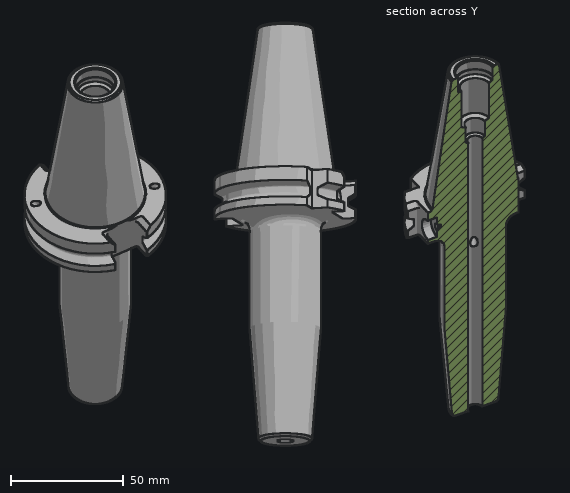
import cadquery as cq
import math


taper_length = 68.3
total_length = 188.2
nose_z = taper_length - total_length

gauge_radius = 22.2
taper_rate = 7 / 48
taper_tip_radius = gauge_radius - taper_length * taper_rate
tip_chamfer = 0.8
collar_radius = 22.5
collar_fillet = 0.8

flange_radius = 31.6
flange_top_z = -1.1
flange_bottom_z = -18.6
groove_z = -11.1
groove_floor_radius = 28.0
groove_floor_half_width = 1.7
groove_corner_fillet = 0.8
groove_slope_angle = 30
groove_mouth_half_width = groove_floor_half_width + (
    flange_radius - groove_floor_radius
) * math.tan(math.radians(groove_slope_angle))

body_radius = 16.0
body_top_z = -25.0
neck_relief = 0.1
neck_radius = body_radius - neck_relief
neck_bottom_z = -24.0
neck_fillet = flange_bottom_z - neck_bottom_z
nose_taper_z = -68.9
nose_radius = 12.0
nose_chamfer = 1.1

mouth_radius = 9.5
mouth_chamfer = 0.5
counterbore_radius = mouth_radius - mouth_chamfer
counterbore_depth = 5.3
recess_radius = 8.7
recess_depth = 8.0
thread_radius = 7.0
thread_cone_depth = 8.8
thread_depth = 28.2
pilot_radius = 4.9
pilot_depth = 37.6
through_radius = 3.5
drill_point_slope = 1 / math.tan(math.radians(60))

slot_half_width = 8.1
slot_floor_left = 24.5
slot_floor_right = 22.4
slot_chamfer = 2.5
slot_edge_chamfer = 0.4
slot_fillet = 1.0

notch_x = 18.5
notch_y = 18.5

chip_radius = 5.3
chip_depth = 4.7
chip_pin_radius = 1.7
chip_pin_tip_radius = 0.8
chip_pin_depth = 1.0
chip_pin_tip_depth = 1.0

coolant_radius = 1.7
coolant_circle_radius = 27.1
coolant_direction = 70
coolant_tilt = 40

clearance = 1.9


def turned_body():
    """Taper, collar, flange, neck and nose as one turned solid."""
    diagonal = math.sqrt(0.5)
    collar_arc_x = collar_radius + collar_fillet * (1 - diagonal)
    collar_arc_z = flange_top_z + collar_fillet * (1 - diagonal)
    neck_arc_x = neck_radius + neck_fillet * (1 - diagonal)
    neck_arc_z = flange_bottom_z - neck_fillet * (1 - diagonal)

    return (
        cq.Workplane("XZ")
        .moveTo(0, taper_length)
        .lineTo(taper_tip_radius - tip_chamfer, taper_length)
        .lineTo(taper_tip_radius + tip_chamfer * taper_rate, taper_length - tip_chamfer)
        .lineTo(gauge_radius, 0)
        .lineTo(collar_radius, 0)
        .lineTo(collar_radius, flange_top_z + collar_fillet)
        .threePointArc(
            (collar_arc_x, collar_arc_z),
            (collar_radius + collar_fillet, flange_top_z),
        )
        .lineTo(flange_radius, flange_top_z)
        .lineTo(flange_radius, flange_bottom_z)
        .lineTo(neck_radius + neck_fillet, flange_bottom_z)
        .threePointArc((neck_arc_x, neck_arc_z), (neck_radius, neck_bottom_z))
        .lineTo(body_radius, body_top_z)
        .lineTo(body_radius, nose_taper_z)
        .lineTo(nose_radius, nose_z + nose_chamfer)
        .lineTo(nose_radius - nose_chamfer, nose_z)
        .lineTo(0, nose_z)
        .close()
        .revolve(360, (0, 0, 0), (0, 1, 0))
    )


def flange_groove():
    """V groove around the flange, with rounded floor corners."""
    floor_corners = cq.selectors.RadiusNthSelector(0)
    return (
        cq.Workplane("XZ")
        .moveTo(flange_radius, groove_z + groove_mouth_half_width)
        .lineTo(groove_floor_radius, groove_z + groove_floor_half_width)
        .lineTo(groove_floor_radius, groove_z - groove_floor_half_width)
        .lineTo(flange_radius, groove_z - groove_mouth_half_width)
        .close()
        .revolve(360, (0, 0, 0), (0, 1, 0))
        .edges("%CIRCLE")
        .edges(floor_corners)
        .fillet(groove_corner_fillet)
    )


def axial_bore():
    """Stepped bore that narrows from the taper tip to the through hole."""
    thread_point = (thread_radius - pilot_radius) * drill_point_slope
    pilot_point = (pilot_radius - through_radius) * drill_point_slope
    steps = [
        (mouth_radius, 0),
        (counterbore_radius, mouth_chamfer),
        (counterbore_radius, counterbore_depth),
        (recess_radius, counterbore_depth),
        (recess_radius, recess_depth),
        (thread_radius, thread_cone_depth),
        (thread_radius, thread_depth),
        (pilot_radius, thread_depth + thread_point),
        (pilot_radius, pilot_depth),
        (through_radius, pilot_depth + pilot_point),
        (through_radius, total_length),
        (0, total_length),
    ]
    profile = cq.Workplane("XZ").moveTo(0, taper_length)
    for radius, depth in steps:
        profile = profile.lineTo(radius, taper_length - depth)
    return profile.close().revolve(360, (0, 0, 0), (0, 1, 0))


def drive_slot(side, floor_x):
    """Slot on one side of X (side is -1 or 1), with bevelled edges."""
    outer_x = flange_radius + clearance

    bevel_start_z = flange_top_z - slot_chamfer
    top_half_width = slot_half_width - bevel_start_z
    slot = (
        cq.Workplane("YZ", origin=(floor_x, 0, 0))
        .moveTo(-slot_half_width, flange_bottom_z)
        .lineTo(-slot_half_width, bevel_start_z)
        .lineTo(-top_half_width, 0)
        .lineTo(top_half_width, 0)
        .lineTo(slot_half_width, bevel_start_z)
        .lineTo(slot_half_width, flange_bottom_z)
        .close()
        .extrude(outer_x - floor_x)
        .faces("<X")
        .edges("not |Y")
        .fillet(slot_fillet)
    )

    rim_half_width = slot_half_width + slot_edge_chamfer
    rim_x = math.sqrt(flange_radius**2 - rim_half_width**2)
    rim_bevel = (
        cq.Workplane("XY", origin=(0, 0, flange_bottom_z))
        .moveTo(rim_x - slot_edge_chamfer, -slot_half_width)
        .lineTo(rim_x, -rim_half_width)
        .lineTo(outer_x, -rim_half_width)
        .lineTo(outer_x, rim_half_width)
        .lineTo(rim_x, rim_half_width)
        .lineTo(rim_x - slot_edge_chamfer, slot_half_width)
        .close()
        .extrude(flange_top_z - flange_bottom_z)
    )
    cutter = slot.union(rim_bevel)
    return cutter if side > 0 else cutter.mirror("YZ")


def corner_notch():
    """Square notch through the flange at the -X, +Y corner."""
    return (
        cq.Workplane("XY", origin=(0, 0, flange_bottom_z))
        .moveTo(-notch_x, notch_y)
        .lineTo(-flange_radius, notch_y)
        .lineTo(-flange_radius, flange_radius)
        .lineTo(-notch_x, flange_radius)
        .close()
        .extrude(flange_top_z - flange_bottom_z)
    )


def chip_pocket():
    """Round pocket with a small tapered central hole, sunk into the left slot floor."""
    floor = cq.Workplane("YZ", origin=(-slot_floor_left, 0, groove_z))
    pocket = floor.circle(chip_radius).extrude(chip_depth)
    pin_hole = (
        cq.Workplane("YZ", origin=(chip_depth - slot_floor_left, 0, groove_z))
        .circle(chip_pin_radius)
        .workplane(offset=chip_pin_depth)
        .circle(chip_pin_tip_radius)
        .loft()
        .faces(">X")
        .workplane()
        .circle(chip_pin_tip_radius)
        .extrude(chip_pin_tip_depth)
    )
    return pocket.union(pin_hole)


def coolant_hole(direction):
    """Hole that slants inward from the flange face to the axis."""
    tilt = math.radians(coolant_tilt)
    length = coolant_circle_radius / math.sin(tilt)
    axis = cq.Vector(-math.sin(tilt), 0, -math.cos(tilt))
    entry = cq.Vector(coolant_circle_radius, 0, flange_top_z)
    hole = cq.Solid.makeCylinder(
        coolant_radius, length + clearance, entry - axis * clearance, axis
    )
    return cq.Workplane(hole).rotate((0, 0, 0), (0, 0, 1), direction)


result = turned_body().cut(flange_groove()).cut(axial_bore())
result = result.cut(drive_slot(-1, slot_floor_left))
result = result.cut(drive_slot(1, slot_floor_right))
result = result.cut(corner_notch())
result = result.cut(chip_pocket())
for direction in (coolant_direction, coolant_direction + 180):
    result = result.cut(coolant_hole(direction))